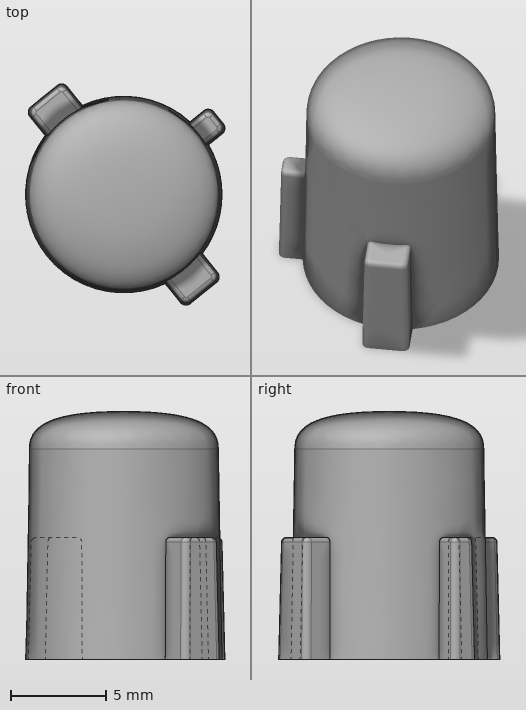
import cadquery as cq
import math

total_height = 13
dome_height = 1.96
dome_fullness = 0.7
draft_angle = 1
base_radius = 5.15

rib_height = 6.4
rib_corner_radius = 0.35
rib_top_radius = 0.25
wide_rib_angle = 129
wide_rib_width = 2.5
wide_rib_reach = 6.63
key_rib_angle = wide_rib_angle - 90
key_rib_width = 1.53
key_rib_reach = 6.38

wall_height = total_height - dome_height
shoulder_radius = base_radius - wall_height * math.tan(math.radians(draft_angle))


def make_body():
    """Revolve the drafted wall and the dome about the Z axis."""
    dome_controls = [
        (shoulder_radius, wall_height + dome_fullness * dome_height),
        (dome_fullness * shoulder_radius, total_height),
        (0, total_height),
    ]
    return (
        cq.Workplane("XZ")
        .lineTo(base_radius, 0)
        .lineTo(shoulder_radius, wall_height)
        .bezier(dome_controls, includeCurrent=True)
        .close()
        .revolve(360, (0, 0, 0), (0, 1, 0))
    )


def make_rib(width, reach, angle):
    """Drafted rib running out from the axis, with rounded outer corners and top edges."""
    return (
        cq.Workplane("XY")
        .rect(2 * reach, width)
        .extrude(rib_height, taper=draft_angle)
        .edges("not (<Z or >Z)")
        .fillet(rib_corner_radius)
        .faces(">Z")
        .edges()
        .fillet(rib_top_radius)
        .intersect(cq.Workplane("XY").box(reach, width, rib_height, centered=(False, True, False)))
        .rotate((0, 0, 0), (0, 0, 1), angle)
    )


result = make_body()
for rib_angle in (wide_rib_angle, wide_rib_angle + 180):
    result = result.union(make_rib(wide_rib_width, wide_rib_reach, rib_angle))
result = result.union(make_rib(key_rib_width, key_rib_reach, key_rib_angle))